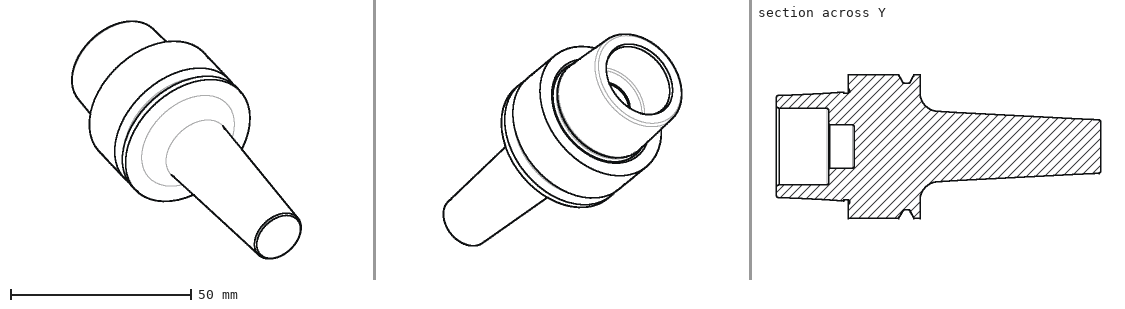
import cadquery as cq
import math

total_length = 90.0

nose_end_radius = 14.2
nose_taper = 0.05
nose_round = 0.7
taper_end = 18.1
relief_start = 18.7
relief_step_length = 0.2
relief_radius = 14.85
relief_corner_radius = 0.6
recess_radius = 16.1
recess_depth = 0.4

flange_start = 20.0
flange_end = 40.0
flange_radius = 20.0
groove_center = 36.1
groove_floor_radius = 17.55
groove_floor_half_width = 0.8
groove_wall_angle = 62.0
groove_corner_round = 0.4

tip_radius = 7.5
neck_half_angle = 3.0
neck_length = total_length - flange_end
neck_root_radius = tip_radius + neck_length * math.tan(math.radians(neck_half_angle))
neck_fillet = 5.0
tip_chamfer = 0.45

bore_radius = 10.5
bore_depth = 14.6
bore_mouth_radius = 10.9
bore_mouth_length = 0.9
pilot_radius = 5.9
pilot_depth = 21.6
pilot_mouth_chamfer = 0.3
bore_corner_round = 0.5

edge_margin = 0.045


def revolve_about_x(profile):
    return profile.close().revolve(axisStart=(0, 0, 0), axisEnd=(1, 0, 0))


def circle_edges(body, x, radius):
    """Select the circular edge of the given radius in the plane at x."""

    def reaching(half_size):
        low = (x - edge_margin, -half_size, -half_size)
        high = (x + edge_margin, half_size, half_size)
        return cq.selectors.BoxSelector(low, high, boundingbox=True)

    return body.edges(reaching(radius + edge_margin) - reaching(radius - edge_margin))


def make_nose_and_flange():
    """Nose and plain flange, joined by a relief that undercuts the flange face."""
    taper_end_radius = nose_end_radius + nose_taper * taper_end
    recess_floor = flange_start + recess_depth
    corner_center_x = recess_floor - relief_corner_radius
    corner_center_radius = relief_radius + relief_corner_radius
    corner_offset = relief_corner_radius / math.sqrt(2)
    body = revolve_about_x(
        cq.Workplane("XY")
        .lineTo(0, nose_end_radius)
        .lineTo(taper_end, taper_end_radius)
        .lineTo(relief_start, taper_end_radius)
        .lineTo(relief_start + relief_step_length, relief_radius)
        .lineTo(corner_center_x, relief_radius)
        .threePointArc(
            (corner_center_x + corner_offset, corner_center_radius - corner_offset),
            (recess_floor, corner_center_radius),
        )
        .lineTo(flange_start, recess_radius)
        .lineTo(flange_start, flange_radius)
        .lineTo(flange_end, flange_radius)
        .lineTo(flange_end, 0)
    )
    return circle_edges(body, 0, nose_end_radius).fillet(nose_round)


def make_groove():
    """Ring-shaped cutter for the V groove with rounded floor corners."""
    depth = flange_radius - groove_floor_radius
    mouth_half_width = groove_floor_half_width + depth / math.tan(math.radians(groove_wall_angle))
    groove = revolve_about_x(
        cq.Workplane("XY")
        .moveTo(groove_center - groove_floor_half_width, groove_floor_radius)
        .lineTo(groove_center + groove_floor_half_width, groove_floor_radius)
        .lineTo(groove_center + mouth_half_width, flange_radius)
        .lineTo(groove_center - mouth_half_width, flange_radius)
    )
    for side in (-1, 1):
        x = groove_center + side * groove_floor_half_width
        groove = circle_edges(groove, x, groove_floor_radius).fillet(groove_corner_round)
    return groove


def make_neck():
    return revolve_about_x(
        cq.Workplane("XY")
        .moveTo(flange_end, 0)
        .lineTo(flange_end, neck_root_radius)
        .lineTo(total_length, tip_radius)
        .lineTo(total_length, 0)
    )


def make_bore():
    """Cutter for the wide bore and the narrower pilot hole behind it."""
    bore = revolve_about_x(
        cq.Workplane("XY")
        .lineTo(0, bore_mouth_radius)
        .lineTo(bore_mouth_length, bore_radius)
        .lineTo(bore_depth, bore_radius)
        .lineTo(bore_depth, pilot_radius + pilot_mouth_chamfer)
        .lineTo(bore_depth + pilot_mouth_chamfer, pilot_radius)
        .lineTo(pilot_depth, pilot_radius)
        .lineTo(pilot_depth, 0)
    )
    for depth, radius in ((bore_depth, bore_radius), (pilot_depth, pilot_radius)):
        bore = circle_edges(bore, depth, radius).fillet(bore_corner_round)
    return bore


body = make_nose_and_flange().cut(make_groove()).union(make_neck())
body = circle_edges(body, flange_end, neck_root_radius).fillet(neck_fillet)
body = circle_edges(body, total_length, tip_radius).chamfer(tip_chamfer)
result = body.cut(make_bore())